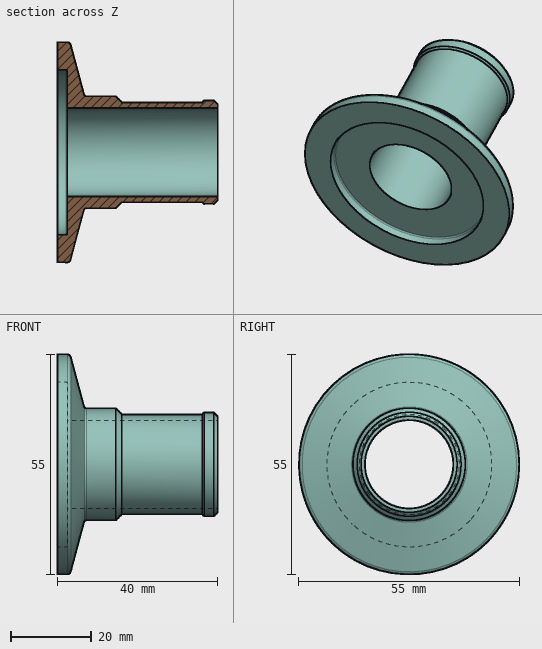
import cadquery as cq
import math

total_length = 40.0
cone_start = 3.15
hub_end = 16.05
bead_start = 36.1

flange_radius = 27.5
hub_radius = 14.0
tube_radius = 12.5
bead_radius = 13.0
bore_radius = 11.0
recess_radius = 20.55

cone_angle = math.radians(15)
rim_fillet = 1.0
hub_fillet = 0.5
end_chamfer = 1.0
recess_depth = 2.4
recess_fillet = 0.35

hub_start = cone_start + (flange_radius - hub_radius) * math.tan(cone_angle)
hub_chamfer = hub_radius - tube_radius
bead_rise = bead_radius - tube_radius


def fillet_circle(body, position, radius, size):
    """Fillet the circular edge of this radius centred at x = position."""
    tolerance = 0.005
    box = cq.selectors.BoxSelector(
        (position - tolerance, -radius - tolerance, -radius - tolerance),
        (position + tolerance, radius + tolerance, radius + tolerance),
        boundingbox=True,
    )
    return body.edges(box).fillet(size)


body = (
    cq.Workplane("XY")
    .moveTo(0, 0)
    .lineTo(0, flange_radius)
    .lineTo(cone_start, flange_radius)
    .lineTo(hub_start, hub_radius)
    .lineTo(hub_end - hub_chamfer, hub_radius)
    .lineTo(hub_end, tube_radius)
    .lineTo(bead_start, tube_radius)
    .lineTo(bead_start + bead_rise, bead_radius)
    .lineTo(total_length - end_chamfer, bead_radius)
    .lineTo(total_length, bead_radius - end_chamfer)
    .lineTo(total_length, 0)
    .close()
    .revolve(360, (0, 0, 0), (1, 0, 0))
)

body = fillet_circle(body, cone_start, flange_radius, rim_fillet)
body = fillet_circle(body, hub_start, hub_radius, hub_fillet)

recess = cq.Workplane("YZ").circle(recess_radius).extrude(recess_depth)
recess = recess.faces(">X").edges().fillet(recess_fillet)

bore = cq.Workplane("YZ").circle(bore_radius).extrude(total_length)

result = body.cut(recess).cut(bore)